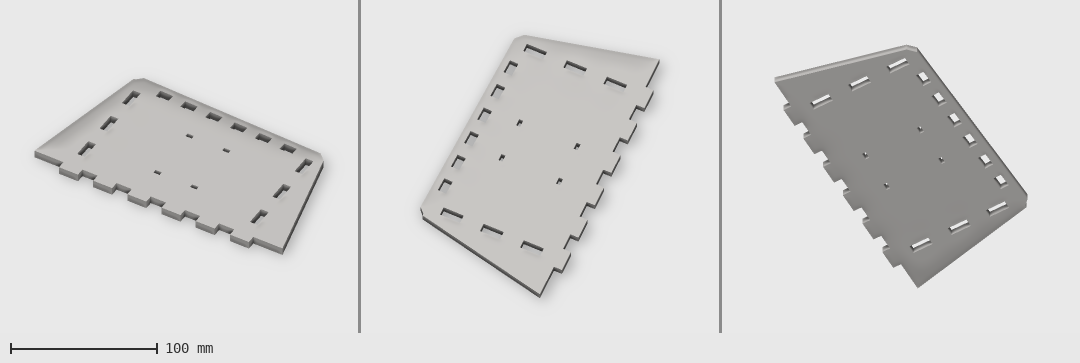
import cadquery as cq
import math

thickness = 6.0
base_half_width = 98.0
total_depth = 107.48

tab_count = 6
tab_width = 15.0
tab_pitch = 27.0
tab_length = thickness

upper_edge_angle = 2.0
upper_edge_left_x = -71.3
upper_edge_right_x = 71.3
left_cut_foot = (-75.3, 97.5)
left_shoulder = (-76.8, 97.4)
right_shoulder = (76.7, 91.4)

side_slot_rows = 3
side_slot_width = thickness
side_slot_length = 15.0
side_slot_offset = 68.2
side_slot_pitch = 30.0
side_slot_middle_y = 49.5

edge_slot_count = 6
edge_slot_width = 10.0
edge_slot_height = 6.3
edge_slot_pitch = 20.0
edge_slot_margin = 4.85

mount_hole_width = 5.0
mount_hole_height = 3.0
mount_spacing_x = 29.0
mount_spacing_y = 43.0
mount_middle_y = 45.0

upper_edge_left_y = total_depth - tab_length


def upper_edge_y(x):
    """Height of the sloping upper edge at a given X."""
    drop = (x - upper_edge_left_x) * math.tan(math.radians(upper_edge_angle))
    return upper_edge_left_y - drop


def make_panel():
    outline = [
        (-base_half_width, 0),
        (base_half_width, 0),
        right_shoulder,
        (upper_edge_right_x, upper_edge_y(upper_edge_right_x)),
        (upper_edge_left_x, upper_edge_left_y),
        left_cut_foot,
        left_shoulder,
    ]
    return cq.Workplane("XY").polyline(outline).close().extrude(thickness)


def make_tabs():
    return (
        cq.Workplane("XY")
        .center(0, -tab_length / 2)
        .rarray(tab_pitch, 1, tab_count, 1)
        .rect(tab_width, tab_length)
        .extrude(thickness)
    )


def make_side_slots():
    return (
        cq.Workplane("XY")
        .center(0, side_slot_middle_y)
        .rarray(2 * side_slot_offset, side_slot_pitch, 2, side_slot_rows)
        .rect(side_slot_width, side_slot_length)
        .extrude(thickness)
    )


def make_edge_slots():
    row_depth = edge_slot_margin + edge_slot_height / 2
    slope = math.radians(upper_edge_angle)
    row_middle_y = upper_edge_y(0) - row_depth / math.cos(slope)
    return (
        cq.Workplane("XY")
        .rarray(edge_slot_pitch, 1, edge_slot_count, 1)
        .rect(edge_slot_width, edge_slot_height)
        .extrude(thickness)
        .rotate((0, 0, 0), (0, 0, 1), -upper_edge_angle)
        .translate((0, row_middle_y, 0))
    )


def make_mount_holes():
    return (
        cq.Workplane("XY")
        .center(0, mount_middle_y)
        .rarray(mount_spacing_x, mount_spacing_y, 2, 2)
        .rect(mount_hole_width, mount_hole_height)
        .extrude(thickness)
    )


result = (
    make_panel()
    .union(make_tabs())
    .cut(make_side_slots())
    .cut(make_edge_slots())
    .cut(make_mount_holes())
)